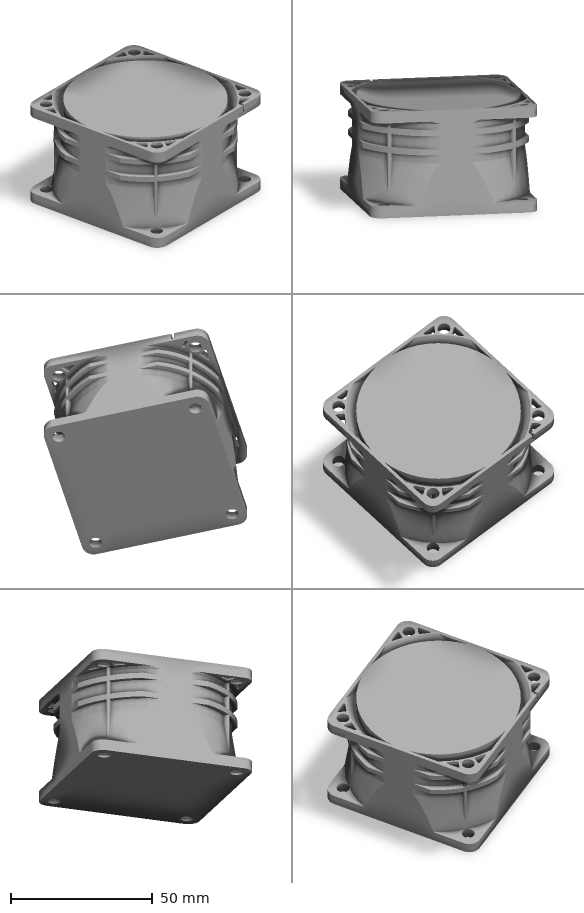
import cadquery as cq


side = 60.0
height = 38.0
corner_radius = 4.2
flange = 3.95
half_side = side / 2
top_flange_bottom = height - flange

hole_offset = 24.9
hole_diameter = 4.5

duct_radius = 30.55
duct_foot_radius = 33.05
duct_cone_top = 18.95
mouth_slope = 0.73
mouth_outside_start = height - 4.85
mouth_outside_radius = duct_radius + mouth_slope * (top_flange_bottom - mouth_outside_start)

ring_radius = 32.45
ring_height = 2.0
ring_bottoms = (22.0, 28.9)

rib_bottom = 7.8
rib_width = 1.2
rib_edge_radius = 0.5
rib_root = 24.0
rib_reach = 32.4

mouth_radius = 32.45
throat_radius = 29.2
rotor_radius = 29.0
mouth_flat = 28.8
mouth_depth = (mouth_radius - throat_radius) / mouth_slope

pocket_round = 0.4
pocket_centers = ((27.9, 18.4), (27.9, 22.5), (25.9, 21.1))

cable_centers = ((28.1, 17.9), (28.1, 22.75), (26.2, 21.05))
outlet_top = 18.35
outlet_round = 0.55
cable_floor_depth = 3.0
step_start = (26.15, 20.15)
step_end = (28.5, 21.95)


def square_block(bottom, block_height):
    """Rounded square slab of the frame's full outline."""
    slab = cq.Workplane("XY").workplane(offset=bottom).rect(side, side).extrude(block_height)
    return slab.edges("|Z").fillet(corner_radius)


def cylinder(radius, bottom, length):
    """Upright cylinder on the duct axis."""
    return cq.Workplane("XY").workplane(offset=bottom).circle(radius).extrude(length)


def duct():
    """Solid of revolution filling the outside of the duct wall."""
    profile = [
        (0, 0),
        (duct_foot_radius, 0),
        (duct_foot_radius, flange),
        (duct_radius, duct_cone_top),
        (duct_radius, mouth_outside_start),
        (mouth_outside_radius, top_flange_bottom),
        (mouth_outside_radius, height),
        (0, height),
    ]
    return cq.Workplane("XZ").polyline(profile).close().revolve(360, (0, 0), (0, 1))


def corner_rib():
    """Upright rib along +X that runs up to the top flange, with its two outer edges rounded."""
    length = rib_reach - rib_root
    rib = (
        cq.Workplane("XY")
        .box(length, rib_width, top_flange_bottom - rib_bottom, centered=(False, True, False))
        .edges("|Z and >X")
        .fillet(rib_edge_radius)
    )
    return rib.translate((rib_root, 0, rib_bottom))


def inlet_mouth():
    """Flat-sided conical ring removed around the rotor disc."""
    floor = height - mouth_depth
    profile = [
        (rotor_radius, floor),
        (throat_radius, floor),
        (mouth_radius, height),
        (rotor_radius, height),
    ]
    ring = cq.Workplane("XZ").polyline(profile).close().revolve(360, (0, 0), (0, 1))
    flats = cq.Workplane("XY").workplane(offset=floor).rect(2 * mouth_flat, 2 * mouth_flat).extrude(mouth_depth)
    return ring.intersect(flats)


def rounded_pocket(centers, depth):
    """Pocket cut down from the top face, its corners rounded about the given centers."""
    outline = cq.Workplane("XY").workplane(offset=height - depth).polyline(centers).close()
    return outline.offset2D(pocket_round).extrude(depth)


def swap_axes(points):
    """Mirror plan points about the 45 degree diagonal."""
    return [(y, x) for x, y in points]


def corner_pockets():
    """The seven plain pockets: two per corner, less the one taken by the cable pocket."""
    beside_x = rounded_pocket(pocket_centers, flange)
    beside_y = rounded_pocket(swap_axes(pocket_centers), flange)
    pockets = beside_y
    for pocket in (beside_x, beside_y):
        pockets = pockets.union(pocket.mirror("YZ"))
        pockets = pockets.union(pocket.mirror("XZ"))
        pockets = pockets.union(pocket.mirror("YZ").mirror("XZ"))
    return pockets


def cable_pocket():
    """Pocket open to the +X side, cut through the flange only at its end near the mounting hole."""
    outlet_start, outlet_corner_y = cable_centers[0]
    wall_x = outlet_start + pocket_round
    outlet_bottom = outlet_corner_y - pocket_round
    outlet = (
        cq.Workplane("XY")
        .workplane(offset=height - cable_floor_depth)
        .moveTo(outlet_start, outlet_bottom)
        .lineTo(half_side, outlet_bottom)
        .lineTo(half_side, outlet_top + outlet_round)
        .radiusArc((half_side - outlet_round, outlet_top), outlet_round)
        .lineTo(wall_x + outlet_round, outlet_top)
        .radiusArc((wall_x, outlet_top + outlet_round), outlet_round)
        .lineTo(outlet_start, outlet_top + outlet_round)
        .close()
        .extrude(cable_floor_depth)
    )
    through_end = rounded_pocket(cable_centers, flange).intersect(
        cq.Workplane("XY")
        .workplane(offset=top_flange_bottom)
        .polyline([step_start, step_end, (half_side, half_side), (hole_offset, hole_offset)])
        .close()
        .extrude(flange)
    )
    return rounded_pocket(cable_centers, cable_floor_depth).union(outlet).union(through_end)


core = duct()
for ring_bottom in ring_bottoms:
    core = core.union(cylinder(ring_radius, ring_bottom, ring_height))
for corner in range(4):
    core = core.union(corner_rib().rotate((0, 0, 0), (0, 0, 1), 45 + 90 * corner))

housing = core.intersect(square_block(0, height))
housing = housing.union(square_block(0, flange)).union(square_block(top_flange_bottom, flange))

mounting_holes = (
    cq.Workplane("XY")
    .rect(2 * hole_offset, 2 * hole_offset, forConstruction=True)
    .vertices()
    .circle(hole_diameter / 2)
    .extrude(height)
)
result = housing.cut(inlet_mouth()).cut(mounting_holes).cut(corner_pockets()).cut(cable_pocket())